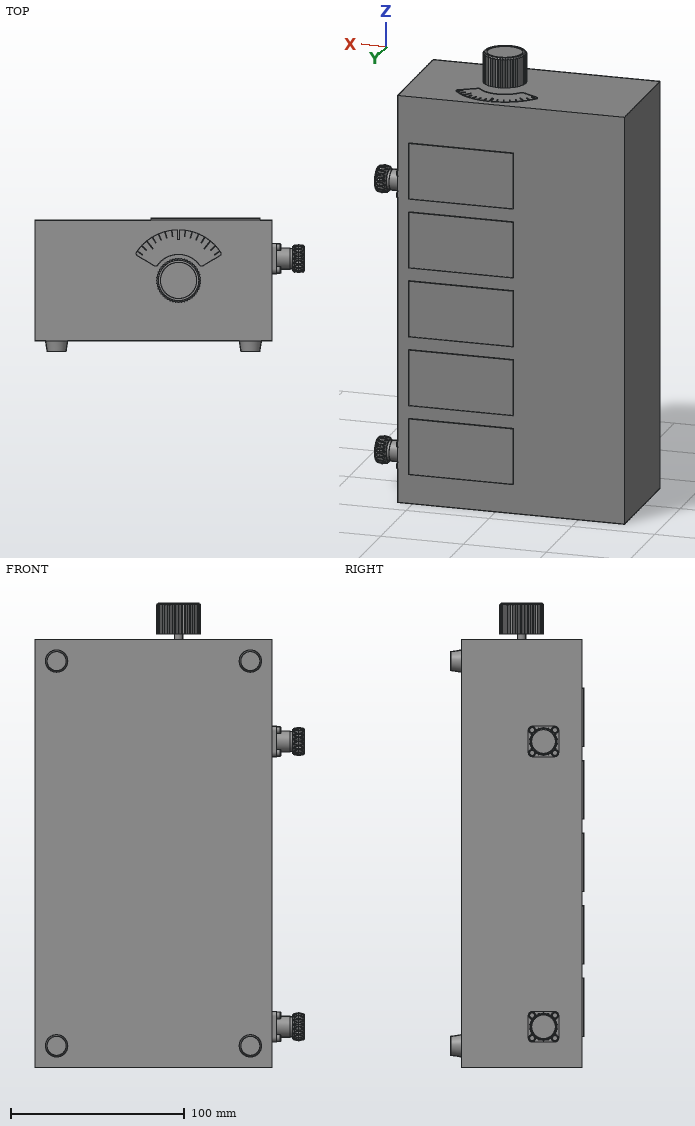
import cadquery as cq
import math

BOX_WIDTH = 137.0
BOX_DEPTH = 69.7
BOX_HEIGHT = 247.0
TOTAL_WIDTH = 155.7
TOTAL_DEPTH = 77.0
TOTAL_HEIGHT = 268.0
OVERLAP = 0.5

FOOT_BASE_DIAMETER = 12.9
FOOT_TIP_DIAMETER = 11.0
FOOT_INSET = 12.5
FOOT_HEIGHT = 6.2

PAD_COUNT = 5
PAD_WIDTH = 63.0
PAD_HEIGHT = 33.8
PAD_PITCH = 41.8
PAD_CENTER_X = 30.0
PAD_CENTER_Z = 118.5
PAD_THICKNESS = TOTAL_DEPTH - BOX_DEPTH - FOOT_HEIGHT

KNOB_X = 14.5
KNOB_DIAMETER = 25.5
KNOB_CAP_DIAMETER = 21.0
KNOB_GAP = 3.0
KNOB_CHAMFER = 1.0
SHAFT_DIAMETER = 4.8
FLUTE_COUNT = 48
FLUTE_DEPTH = 0.5
CAP_RECESS_DEPTH = 0.3

DIAL_INNER_RADIUS = 15.0
DIAL_OUTER_RADIUS = 29.2
DIAL_HALF_ANGLE = 59
DIAL_CORNER_RADIUS = 1.3
DIAL_DEPTH = 0.3
TICK_COUNT = 15
TICK_STEP_ANGLE = 7.8
TICKS_PER_LONG_TICK = 5
TICK_LENGTH = 3.8
LONG_TICK_LENGTH = 5.5
TICK_WIDTH = 0.3
CENTER_TICK_WIDTH = 1.0

CONNECTOR_Y = 12.5
CONNECTOR_HEIGHTS = (23.5, 188.0)
FLANGE_SIZE = 17.7
FLANGE_THICKNESS = 2.5
FLANGE_CORNER_RADIUS = 2.7
SCREW_SPACING = 13.0
SCREW_HEAD_DIAMETER = 4.0
SCREW_HEAD_HEIGHT = 2.7
SCREW_HEAD_CHAMFER = 0.5
BARREL_DIAMETER = 12.3
BARREL_END = 10.2
NECK_DIAMETER = 11.8
COLLAR_START = 11.8
COLLAR_DIAMETER = 16.3
COLLAR_CHAMFER = 1.3
COLLAR_KNURL_COUNT = 18
COLLAR_KNURL_DEPTH = 0.8
CONNECTOR_LENGTH = TOTAL_WIDTH - BOX_WIDTH


def polar(radius, angle):
    """Point at a radius and an angle in degrees."""
    return radius * math.cos(math.radians(angle)), radius * math.sin(math.radians(angle))


def toothed_profile(plane, diameter, depth, count):
    """Closed ring of V-shaped teeth whose tips lie on the given diameter."""
    half_pitch = 180 / count
    points = []
    for i in range(count):
        points.append(polar(diameter / 2, 2 * i * half_pitch))
        points.append(polar(diameter / 2 - depth, (2 * i + 1) * half_pitch))
    return cq.Workplane(plane).polyline(points).close()


def make_box():
    return cq.Workplane("XY").box(BOX_WIDTH, BOX_DEPTH, BOX_HEIGHT, centered=(True, True, False))


def make_feet():
    foot_x = BOX_WIDTH / 2 - FOOT_INSET
    positions = [
        (x, z) for x in (-foot_x, foot_x) for z in (FOOT_INSET, BOX_HEIGHT - FOOT_INSET)
    ]
    taper = math.degrees(math.atan((FOOT_BASE_DIAMETER - FOOT_TIP_DIAMETER) / 2 / FOOT_HEIGHT))
    return (
        cq.Workplane("XZ", origin=(0, -BOX_DEPTH / 2, 0))
        .pushPoints(positions)
        .circle(FOOT_BASE_DIAMETER / 2)
        .extrude(FOOT_HEIGHT, taper=taper)
    )


def make_pads():
    return (
        cq.Workplane("XZ", origin=(PAD_CENTER_X, BOX_DEPTH / 2 + PAD_THICKNESS, PAD_CENTER_Z))
        .rarray(2.7, PAD_PITCH, 1, PAD_COUNT)
        .rect(PAD_WIDTH, PAD_HEIGHT)
        .extrude(PAD_THICKNESS + OVERLAP)
    )


def make_knob():
    knob_height = TOTAL_HEIGHT - BOX_HEIGHT - KNOB_GAP
    envelope = (
        cq.Workplane("XY").circle(KNOB_DIAMETER / 2).extrude(knob_height)
        .faces(">Z").chamfer(KNOB_CHAMFER)
    )
    knob = toothed_profile("XY", KNOB_DIAMETER, FLUTE_DEPTH, FLUTE_COUNT).extrude(knob_height)
    knob = knob.intersect(envelope)
    knob = knob.faces(">Z").workplane().circle(KNOB_CAP_DIAMETER / 2).cutBlind(-CAP_RECESS_DEPTH)
    shaft = (
        cq.Workplane("XY", origin=(0, 0, -KNOB_GAP - OVERLAP))
        .circle(SHAFT_DIAMETER / 2)
        .extrude(KNOB_GAP + 2 * OVERLAP)
    )
    return knob.union(shaft).translate((KNOB_X, 0, BOX_HEIGHT + KNOB_GAP))


def make_dial_pocket():
    """Annular sector to sink into the top face, leaving the tick marks standing."""
    start = 90 - DIAL_HALF_ANGLE
    end = 90 + DIAL_HALF_ANGLE
    sector = (
        cq.Workplane("XY")
        .moveTo(*polar(DIAL_INNER_RADIUS, start))
        .lineTo(*polar(DIAL_OUTER_RADIUS, start))
        .threePointArc(polar(DIAL_OUTER_RADIUS, 90), polar(DIAL_OUTER_RADIUS, end))
        .lineTo(*polar(DIAL_INNER_RADIUS, end))
        .threePointArc(polar(DIAL_INNER_RADIUS, 90), polar(DIAL_INNER_RADIUS, start))
        .close()
        .extrude(DIAL_DEPTH)
        .edges("|Z").fillet(DIAL_CORNER_RADIUS)
    )
    ticks_each_side = TICK_COUNT // 2
    for i in range(-ticks_each_side, ticks_each_side + 1):
        length = LONG_TICK_LENGTH if i % TICKS_PER_LONG_TICK == 0 else TICK_LENGTH
        width = CENTER_TICK_WIDTH if i == 0 else TICK_WIDTH
        tick = (
            cq.Workplane("XY")
            .center(0, DIAL_OUTER_RADIUS + (OVERLAP - length) / 2)
            .rect(width, length + OVERLAP)
            .extrude(DIAL_DEPTH)
            .rotate((0, 0, 0), (0, 0, 1), i * TICK_STEP_ANGLE)
        )
        sector = sector.cut(tick)
    return sector.translate((KNOB_X, 0, BOX_HEIGHT - DIAL_DEPTH))


def disc(diameter, start, end):
    """Cylinder along X from one distance to another."""
    return cq.Workplane("YZ", origin=(start, 0, 0)).circle(diameter / 2).extrude(end - start)


def make_collar():
    """Diamond-knurled nut: left-hand and right-hand twisted teeth crossing each other."""
    length = CONNECTOR_LENGTH - COLLAR_START
    collar = disc(COLLAR_DIAMETER, 0, length).edges().chamfer(COLLAR_CHAMFER)
    twist = 360 / COLLAR_KNURL_COUNT
    for angle in (-twist, twist):
        teeth = toothed_profile("YZ", COLLAR_DIAMETER, COLLAR_KNURL_DEPTH, COLLAR_KNURL_COUNT)
        collar = collar.intersect(teeth.twistExtrude(length, angle))
    return collar.translate((COLLAR_START, 0, 0))


def make_connector():
    flange = (
        cq.Workplane("YZ", origin=(-OVERLAP, 0, 0))
        .rect(FLANGE_SIZE, FLANGE_SIZE)
        .extrude(FLANGE_THICKNESS + OVERLAP)
        .edges("|X").fillet(FLANGE_CORNER_RADIUS)
    )
    screws = (
        cq.Workplane("YZ", origin=(FLANGE_THICKNESS - OVERLAP, 0, 0))
        .rarray(SCREW_SPACING, SCREW_SPACING, 2, 2)
        .circle(SCREW_HEAD_DIAMETER / 2)
        .extrude(SCREW_HEAD_HEIGHT + OVERLAP)
        .faces(">X").chamfer(SCREW_HEAD_CHAMFER)
    )
    barrel = disc(BARREL_DIAMETER, 0, BARREL_END)
    neck = disc(NECK_DIAMETER, 0, COLLAR_START + OVERLAP)
    return flange.union(screws).union(barrel).union(neck).union(make_collar())


result = make_box().union(make_feet()).union(make_pads())
result = result.cut(make_dial_pocket()).union(make_knob())
connector = make_connector()
for height in CONNECTOR_HEIGHTS:
    result = result.union(connector.translate((BOX_WIDTH / 2, CONNECTOR_Y, height)))